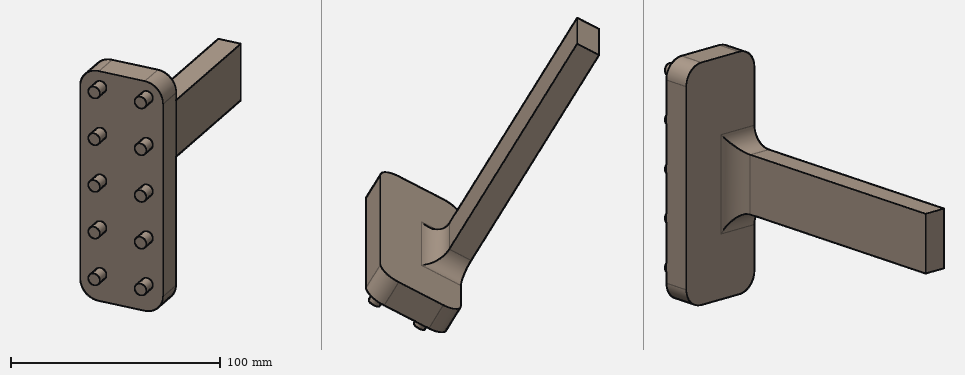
import cadquery as cq

width = 44.3
total_length = 155.0
height = 122.0

plate_thickness = 14.1
corner_radius = 9.9

pin_diameter = 6.2
pin_length = 7.0
pin_pitch = 24.8
pin_columns = 2
pin_rows = 5
pin_shift = 1.2
pin_rise = 3.3

arm_width = 12.1
arm_height = 30.0
arm_drop = 3.0
root_radius = 9.9

arm_length = total_length - pin_length - plate_thickness
arm_center_x = (arm_width - width) / 2


def make_plate():
    blank = cq.Workplane("XY").box(width, plate_thickness, height, centered=(True, False, True))
    return blank.edges("|Y").fillet(corner_radius)


def make_arm():
    arm = cq.Workplane("XY").box(arm_width, arm_length, arm_height, centered=(True, False, True))
    return arm.translate((arm_center_x, plate_thickness, -arm_drop))


def fillet_arm_root(body):
    """Round the inside corner where three sides of the arm meet the plate."""
    clearance = 0.2
    root_box = cq.selectors.BoxSelector(
        (-width / 2 + clearance, plate_thickness - clearance, -arm_drop - arm_height / 2 - clearance),
        (arm_center_x + arm_width, plate_thickness + clearance, -arm_drop + arm_height / 2 + clearance),
    )
    side_box = cq.selectors.BoxSelector(
        (arm_center_x, plate_thickness - clearance, -arm_drop - clearance),
        (arm_center_x + arm_width + clearance, plate_thickness + clearance, -arm_drop + clearance),
    )
    return body.edges(root_box + side_box).fillet(root_radius)


def make_pins():
    return (
        cq.Workplane("XZ")
        .center(pin_shift, pin_rise)
        .rarray(pin_pitch, pin_pitch, pin_columns, pin_rows)
        .circle(pin_diameter / 2)
        .extrude(pin_length)
    )


bracket = fillet_arm_root(make_plate().union(make_arm()))
result = bracket.union(make_pins())